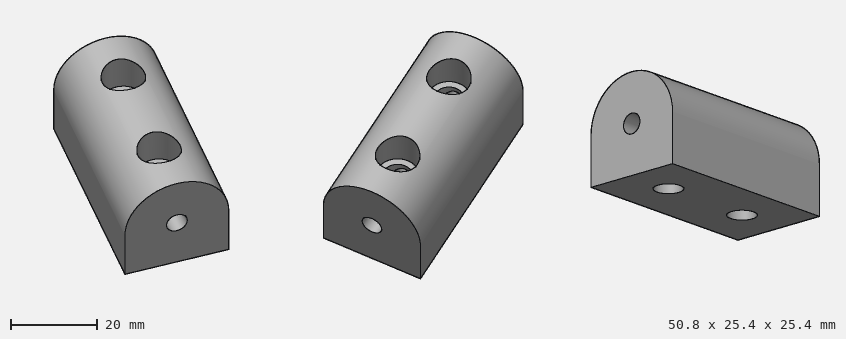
import cadquery as cq

length = 50.8
width = 25.4
crown_radius = width / 2
axis_height = 12.7
top_height = axis_height + crown_radius

axial_bore_diameter = 5.1

screw_spacing = length / 2
screw_hole_diameter = 7.1
counterbore_diameter = 10.3
counterbore_depth = 8.9


def make_body():
    """Extrude the arched end profile, centred on X and Y, base at Z = 0."""
    return (
        cq.Workplane("YZ")
        .moveTo(-width / 2, 0)
        .lineTo(width / 2, 0)
        .lineTo(width / 2, axis_height)
        .threePointArc((0, top_height), (-width / 2, axis_height))
        .close()
        .extrude(length / 2, both=True)
    )


def make_axial_bore():
    return (
        cq.Workplane("YZ")
        .center(0, axis_height)
        .circle(axial_bore_diameter / 2)
        .extrude(length / 2, both=True)
    )


def make_screw_hole(x):
    through_hole = cq.Workplane("XY").center(x, 0).circle(screw_hole_diameter / 2).extrude(top_height)
    counterbore = (
        cq.Workplane("XY", origin=(x, 0, top_height))
        .circle(counterbore_diameter / 2)
        .extrude(-counterbore_depth)
    )
    return through_hole.union(counterbore)


result = make_body().cut(make_axial_bore())
for x in (-screw_spacing / 2, screw_spacing / 2):
    result = result.cut(make_screw_hole(x))